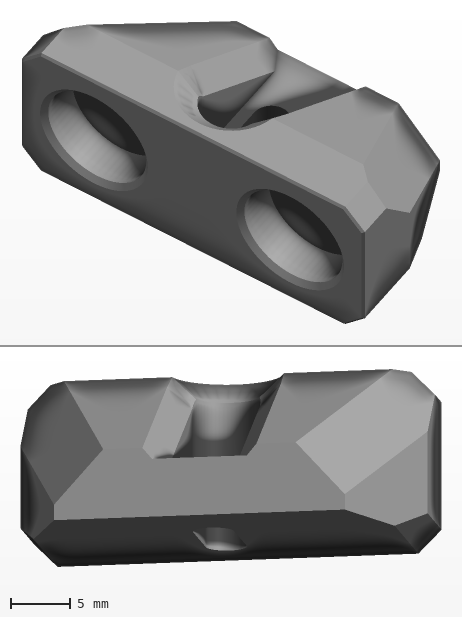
import cadquery as cq
import math

length = 35.0
depth = 19.0
height = 15.0
corner_cut = 2.0
front_edge_chamfer = 0.2

ridge_y = 5.0
back_height = 6.0
flank_start_y = 7.0
back_length = 25.0
roof_slope = (height - back_height) / (depth - ridge_y)
flank_chamfer = 4.0

pocket_diameter = 10.0
pocket_spacing = 20.02
pocket_depth = 4.2
pocket_chamfer = 0.5

channel_width = 5.8
channel_floor_z = 5.0
channel_chamfer = 2.0
slot_width = 3.5
slot_front_y = 6.0
slot_back_y = 12.0


def make_bar():
    """Octagonal bar along Y with a small bevel around the front face."""
    bar = (
        cq.Workplane("XZ")
        .rect(length, height)
        .extrude(-depth)
        .edges("|Y")
        .chamfer(corner_cut)
        .translate((0, 0, height / 2))
    )
    return bar.faces("<Y").chamfer(front_edge_chamfer)


def make_wedge():
    """Roof slope and flank planes, run on past the front, with their shared edges chamfered."""
    flank_slope = (length - back_length) / 2 / (depth - flank_start_y)
    front_z = back_height + roof_slope * 2 * depth
    front_half = back_length / 2 + flank_slope * 2 * depth
    back_half = back_length / 2

    roof = (
        cq.Workplane("YZ")
        .polyline([(-depth, 0), (depth, 0), (depth, back_height), (-depth, front_z)])
        .close()
        .extrude(front_half, both=True)
    )
    flanks = (
        cq.Workplane("XY")
        .polyline([
            (-front_half, -depth),
            (front_half, -depth),
            (back_half, depth),
            (-back_half, depth),
        ])
        .close()
        .extrude(front_z)
    )
    wedge = roof.intersect(flanks)
    return wedge.faces(">Z").edges("not |X").chamfer(flank_chamfer)


def cut_channel(body):
    """Round-ended channel, with vertical walls, open at the back."""
    half_width = channel_width / 2
    channel = (
        cq.Workplane("XY")
        .workplane(offset=channel_floor_z)
        .moveTo(half_width, 2 * depth)
        .lineTo(half_width, slot_front_y)
        .threePointArc((0, slot_front_y - half_width), (-half_width, slot_front_y))
        .lineTo(-half_width, 2 * depth)
        .close()
        .extrude(height)
    )
    return body.cut(channel)


def rim_section(y, top_z, outer, inner, lean, drop):
    """Trapezoid across the channel; its lower edge is shifted by -lean in Y and -drop in Z."""
    return cq.Wire.makePolygon(
        [
            cq.Vector(-outer, y, top_z),
            cq.Vector(outer, y, top_z),
            cq.Vector(inner, y - lean, top_z - drop),
            cq.Vector(-inner, y - lean, top_z - drop),
        ],
        close=True,
    )


def cut_channel_rim(body):
    """Rim chamfer: a cone around the end on the flat top, blended into straight bevels down the roof."""
    half_width = channel_width / 2
    outer_half_width = half_width + channel_chamfer
    cone = cq.Solid.makeCone(
        half_width,
        outer_half_width,
        channel_chamfer,
        pnt=cq.Vector(0, slot_front_y, height - channel_chamfer),
    )

    roof_angle = math.atan(roof_slope)
    lean = channel_chamfer * math.sin(roof_angle)
    drop = channel_chamfer * math.cos(roof_angle)
    bevel_start_y = slot_front_y + lean
    bevel_end_y = depth + 2 * lean
    arc_offset = slot_front_y - ridge_y
    ridge_outer = math.sqrt(outer_half_width**2 - arc_offset**2)
    ridge_inner = math.sqrt(half_width**2 - arc_offset**2)

    ridge_section = rim_section(ridge_y, height, ridge_outer, ridge_inner, 0, channel_chamfer)
    straight_sections = [
        rim_section(y, height - roof_slope * (y - ridge_y), outer_half_width, half_width, lean, drop)
        for y in (bevel_start_y, bevel_end_y)
    ]
    blend = cq.Solid.makeLoft([ridge_section, straight_sections[0]], True)
    bevels = cq.Solid.makeLoft(straight_sections, True)

    above_floor = (
        cq.Workplane("XY")
        .workplane(offset=channel_floor_z)
        .rect(length, 4 * depth)
        .extrude(height)
    )
    for cutter in (cone, blend, bevels):
        body = body.cut(above_floor.intersect(cq.Workplane(cutter)))
    return body


def cut_slot(body):
    """Slotted hole through the channel floor."""
    slot = (
        cq.Workplane("XY")
        .center(0, (slot_front_y + slot_back_y) / 2)
        .slot2D(slot_back_y - slot_front_y + slot_width, slot_width, 90)
        .extrude(height)
    )
    return body.cut(slot)


def cut_pockets(body):
    """Two blind round pockets with a chamfered mouth."""
    radius = pocket_diameter / 2
    mouth_radius = radius + pocket_chamfer
    profile = (
        cq.Workplane("XY")
        .polyline([
            (0, 0),
            (mouth_radius, 0),
            (radius, pocket_chamfer),
            (radius, pocket_depth),
            (0, pocket_depth),
        ])
        .close()
    )
    pocket = profile.revolve(360, (0, 0, 0), (0, 1, 0))
    for side in (-1, 1):
        body = body.cut(pocket.translate((side * pocket_spacing / 2, 0, height / 2)))
    return body


result = make_bar().intersect(make_wedge())
result = cut_channel(result)
result = cut_channel_rim(result)
result = cut_slot(result)
result = cut_pockets(result)